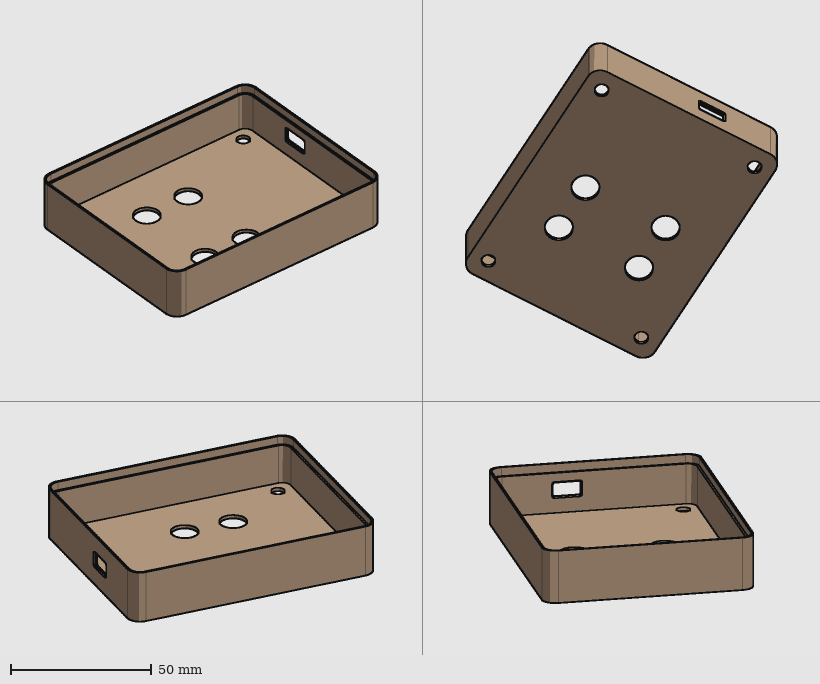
import cadquery as cq

length_x = 77.2
length_y = 95.8
height = 19.7
corner_radius = 5.0

wall = 1.5
floor_thickness = 1.4
rim_wall = 0.7
rim_depth = 3.3

mount_diameter = 5.0
mount_spacing_x = 63.0
mount_spacing_y = 80.8

large_diameter = 10.1
large_spacing_x = 33.05
large_spacing_y = 19.0
large_center_y = -6.6

window_width = 10.2
window_height = 5.2
window_radius = 0.6
window_chamfer = 0.5
window_flare_angle = 45
window_center_x = -9.7
window_center_z = 10.1


def rounded_block(inset, bottom, top):
    """Upright block following the outer outline, drawn in by the inset."""
    return (
        cq.Workplane("XY")
        .workplane(offset=bottom)
        .rect(length_x - 2 * inset, length_y - 2 * inset)
        .extrude(top - bottom)
        .edges("|Z")
        .fillet(corner_radius - inset)
    )


def floor_holes(diameter, spacing_x, spacing_y, center_y):
    """Two by two pattern of cylinders passing through the floor."""
    return (
        cq.Workplane("XY")
        .center(0, center_y)
        .rarray(spacing_x, spacing_y, 2, 2)
        .circle(diameter / 2)
        .extrude(floor_thickness)
    )


def connector_window():
    """Rounded opening through the +Y wall, chamfered around both of its mouths."""
    profile = cq.Sketch().rect(window_width, window_height).vertices().fillet(window_radius)
    outer_face = cq.Workplane("XZ", origin=(window_center_x, length_y / 2, window_center_z))
    opening = outer_face.placeSketch(profile).extrude(wall)
    inner_flare = (
        outer_face.workplane(offset=wall - window_chamfer)
        .placeSketch(profile)
        .extrude(window_chamfer, taper=-window_flare_angle)
    )
    wall_middle = (0, length_y / 2 - wall / 2, 0)
    outer_flare = inner_flare.mirror("XZ", wall_middle)
    return opening.union(inner_flare).union(outer_flare)


body = rounded_block(0, 0, height)
cavity = rounded_block(wall, floor_thickness, height)
rim_recess = rounded_block(rim_wall, height - rim_depth, height)
mount_holes = floor_holes(mount_diameter, mount_spacing_x, mount_spacing_y, 0)
large_holes = floor_holes(large_diameter, large_spacing_x, large_spacing_y, large_center_y)

result = (
    body.cut(cavity)
    .cut(rim_recess)
    .cut(mount_holes)
    .cut(large_holes)
    .cut(connector_window())
)